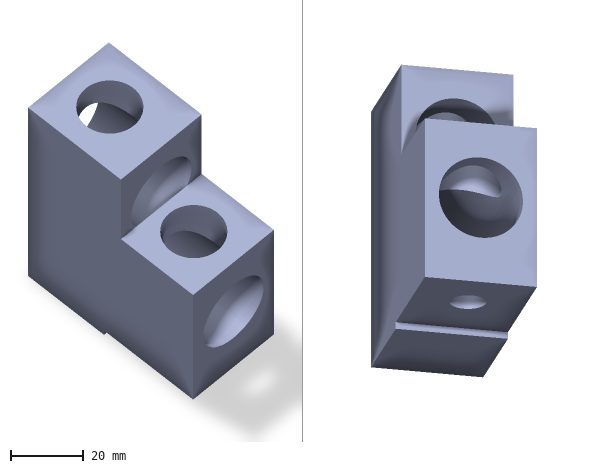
import cadquery as cq

length = 63.5
width = 31.7
height = 75.7

tower_length = 35.7
shoulder_height = 49.0
foot_length = 29.2
foot_height = 2.0

cross_bore_diameter = 23.8
lower_bore_height = 26.95
upper_bore_height = 55.25

vertical_bore_diameter = 18.5
tower_bore_x = 15.9
shoulder_bore_x = 48.2
drain_diameter = 10.1


def horizontal_bore(axis_height, depth):
    """Cylinder along X starting at the left face."""
    return (
        cq.Workplane("YZ")
        .center(0, axis_height)
        .circle(cross_bore_diameter / 2)
        .extrude(depth)
    )


def vertical_bore(axis_x, diameter, bottom, top):
    """Cylinder along Z between two heights, centred across the width."""
    return (
        cq.Workplane("XY")
        .workplane(offset=bottom)
        .center(axis_x, 0)
        .circle(diameter / 2)
        .extrude(top - bottom)
    )


body = (
    cq.Workplane("XZ")
    .polyline([
        (0, 0),
        (foot_length, 0),
        (foot_length, foot_height),
        (length, foot_height),
        (length, shoulder_height),
        (tower_length, shoulder_height),
        (tower_length, height),
        (0, height),
    ])
    .close()
    .extrude(width / 2, both=True)
)

body = body.cut(horizontal_bore(upper_bore_height, tower_length))
body = body.cut(horizontal_bore(lower_bore_height, length))

body = body.cut(vertical_bore(tower_bore_x, vertical_bore_diameter, upper_bore_height, height))
body = body.cut(
    vertical_bore(shoulder_bore_x, vertical_bore_diameter, lower_bore_height, shoulder_height)
)

result = body.cut(vertical_bore(shoulder_bore_x, drain_diameter, 0, lower_bore_height))